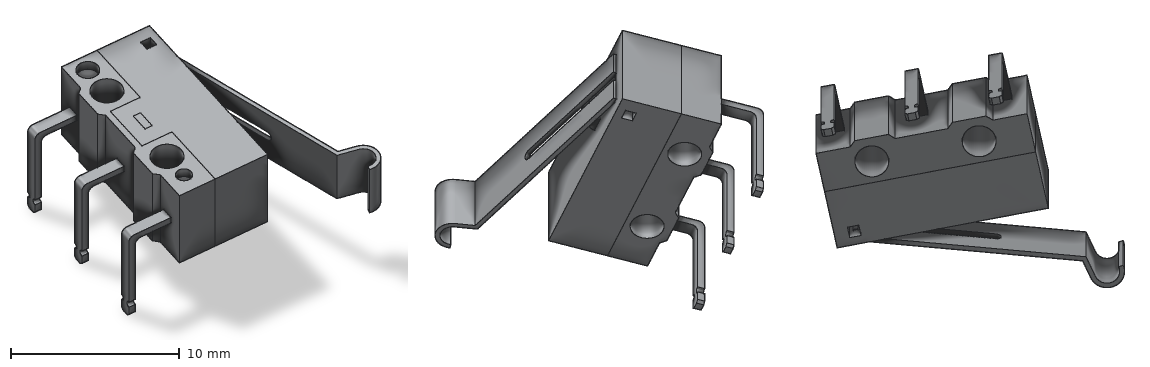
import cadquery as cq
import math


length = 12.77
depth = 6.25
height = 5.7
mid_x = length / 2
mid_z = height / 2
split_y = 2.53

hole_diameter = 2.0
hole_spacing = 6.49
hole_y = 1.17
large_recess_diameter = 1.4
large_recess_x = 1.08
small_recess_diameter = 1.0
small_recess_x = 11.47
recess_depth = 0.65

pad_offset = 2.95
pad_width = 2.04
pad_height = 0.35

tab_width = 3.43
tab_front_y = 0.4
tab_thickness = 0.4
catch_width = 1.27
catch_length = 0.5
catch_y = 1.58

window_size = 0.69
window_x = 1.2
window_y = 5.4

plunger_diameter = 1.0
plunger_x = 4.34
plunger_y = 6.23
plunger_length = 1.99

lever_thickness = 0.3
lever_width = 3.67
lever_z = 2.82
leg_x = 1.08
leg_heading = 90.0
blade_heading = 17.2
arm_heading = 78.0
bend_y = 6.43
blade_length = 13.52
arm_length = 1.2
hook_radius = 1.05
slot_width = 0.69
slot_end = 8.65
tang_width = 1.99
shoulder_y = 5.7

terminal_pitch = 5.07
terminal_width = 0.8
terminal_thickness = 0.45
terminal_insertion = 0.98
terminal_reach = 2.98
terminal_top_z = 3.07
terminal_bottom_z = -3.65
bend_radius = 0.4
tip_chamfer = 0.16
notch_radius = 0.21
notch_z = -2.66


def block(x0, x1, y0, y1, z0, z1):
    """Axis-aligned box between two corners."""
    return cq.Workplane("XY").box(x1 - x0, y1 - y0, z1 - z0, centered=False).translate((x0, y0, z0))


def tab_catch():
    """Block at the top face that fills the window of the snap tab."""
    return block(
        mid_x - catch_width / 2,
        mid_x + catch_width / 2,
        catch_y - catch_length / 2,
        catch_y + catch_length / 2,
        height - tab_thickness,
        height,
    )


def snap_tab():
    """Tongue of the cover that lies flush in the top of the base."""
    tongue = block(
        mid_x - tab_width / 2,
        mid_x + tab_width / 2,
        tab_front_y,
        split_y,
        height - tab_thickness,
        height,
    )
    return tongue.cut(tab_catch())


def make_plunger():
    """Round bar seated for about half its diameter in the back face of the cover."""
    return (
        cq.Workplane("XY", origin=(plunger_x, plunger_y, mid_z - plunger_length / 2))
        .circle(plunger_diameter / 2)
        .extrude(plunger_length)
    )


def step(point, heading, distance):
    """Point at a distance from another along a heading in degrees."""
    angle = math.radians(heading)
    return (point[0] + distance * math.cos(angle), point[1] + distance * math.sin(angle))


def across_bend(point, heading_in, heading_out):
    """Corner on the right-hand face of the strip, opposite a corner on its left-hand face."""
    half_turn = math.radians((heading_in - heading_out) / 2)
    return step(point, (heading_in + heading_out) / 2 - 90, lever_thickness / math.cos(half_turn))


def make_lever():
    """Bent strip: leg, slanted blade, short arm and half-round hook."""
    leg_bend = (leg_x, bend_y)
    arm_bend = step(leg_bend, blade_heading, blade_length)
    hook_start = step(arm_bend, arm_heading, arm_length)
    hook_centre = step(hook_start, arm_heading - 90, hook_radius)
    inner_radius = hook_radius - lever_thickness
    leg_end_y = window_y - window_size / 2

    strip = (
        cq.Workplane("XY", origin=(0, 0, lever_z - lever_width / 2))
        .moveTo(leg_x, leg_end_y)
        .lineTo(*leg_bend)
        .lineTo(*arm_bend)
        .lineTo(*hook_start)
        .threePointArc(
            step(hook_centre, arm_heading, hook_radius),
            step(hook_centre, arm_heading - 90, hook_radius),
        )
        .lineTo(*step(hook_centre, arm_heading - 90, inner_radius))
        .threePointArc(
            step(hook_centre, arm_heading, inner_radius),
            step(hook_centre, arm_heading + 90, inner_radius),
        )
        .lineTo(*across_bend(arm_bend, blade_heading, arm_heading))
        .lineTo(*across_bend(leg_bend, leg_heading, blade_heading))
        .lineTo(leg_x + lever_thickness, leg_end_y)
        .close()
        .extrude(lever_width)
    )

    blade_plane = cq.Plane(
        origin=(*leg_bend, lever_z),
        xDir=(math.cos(math.radians(blade_heading)), math.sin(math.radians(blade_heading)), 0),
        normal=(*step((0, 0), blade_heading + 90, 1), 0),
    )
    blade_slot = (
        cq.Workplane(blade_plane)
        .moveTo(0, -slot_width / 2)
        .lineTo(slot_end - slot_width / 2, -slot_width / 2)
        .threePointArc((slot_end, 0), (slot_end - slot_width / 2, slot_width / 2))
        .lineTo(0, slot_width / 2)
        .close()
        .extrude(lever_thickness, both=True)
    )
    bend_slot = block(
        leg_x,
        leg_x + lever_thickness,
        depth,
        depth + 2 * lever_thickness,
        lever_z - slot_width / 2,
        lever_z + slot_width / 2,
    )
    lever = strip.cut(blade_slot).cut(bend_slot)

    shoulder_width = (lever_width - tang_width) / 2
    for side in (-1, 1):
        shoulder_z = lever_z + side * (tang_width + shoulder_width) / 2
        shoulder = block(
            leg_x,
            leg_x + lever_thickness,
            leg_end_y,
            shoulder_y,
            shoulder_z - shoulder_width / 2,
            shoulder_z + shoulder_width / 2,
        )
        lever = lever.cut(shoulder)
    return lever


def make_terminal(x):
    """Flat pin that leaves the front of the base and bends down."""
    underside_z = terminal_top_z - terminal_thickness
    inner_y = terminal_thickness - terminal_reach
    pin = (
        cq.Workplane("YZ", origin=(x - terminal_width / 2, 0, 0))
        .moveTo(terminal_insertion, terminal_top_z)
        .lineTo(bend_radius - terminal_reach, terminal_top_z)
        .radiusArc((-terminal_reach, terminal_top_z - bend_radius), -bend_radius)
        .lineTo(-terminal_reach, terminal_bottom_z)
        .lineTo(inner_y, terminal_bottom_z)
        .lineTo(inner_y, underside_z - bend_radius)
        .radiusArc((inner_y + bend_radius, underside_z), bend_radius)
        .lineTo(terminal_insertion, underside_z)
        .close()
        .extrude(terminal_width)
    )
    pin = pin.faces("<Z").edges("|Y").chamfer(tip_chamfer)
    notches = (
        cq.Workplane("XZ", origin=(x, 0, notch_z))
        .pushPoints([(-terminal_width / 2, 0), (terminal_width / 2, 0)])
        .circle(notch_radius)
        .extrude(terminal_reach)
    )
    return pin.cut(notches)


def make_base(terminals):
    """Front half of the housing, with sockets for the terminals."""
    body = block(0, length, 0, split_y, 0, height)
    for side in (-1, 1):
        pad_x = mid_x + side * pad_offset
        foot = pad_width / 2 + pad_height
        pad = (
            cq.Workplane("XY")
            .polyline(
                [
                    (pad_x - foot, 0),
                    (pad_x - pad_width / 2, -pad_height),
                    (pad_x + pad_width / 2, -pad_height),
                    (pad_x + foot, 0),
                ]
            )
            .close()
            .extrude(height)
        )
        body = body.union(pad)

    top = cq.Workplane("XY", origin=(0, hole_y, height))
    hole_points = [(mid_x - hole_spacing / 2, 0), (mid_x + hole_spacing / 2, 0)]
    mounting_holes = top.pushPoints(hole_points).circle(hole_diameter / 2).extrude(-height)
    large_recess = top.center(large_recess_x, 0).circle(large_recess_diameter / 2).extrude(-recess_depth)
    small_recess = top.center(small_recess_x, 0).circle(small_recess_diameter / 2).extrude(-recess_depth)
    body = body.cut(mounting_holes).cut(large_recess).cut(small_recess).cut(snap_tab())
    for terminal in terminals:
        body = body.cut(terminal)
    return body


def make_cover(plunger, lever):
    """Back half of the housing, with seats for the plunger and the lever."""
    body = block(0, length, split_y, depth, 0, height).union(snap_tab())
    window = (
        cq.Workplane("XY")
        .center(window_x, window_y)
        .rect(window_size, window_size)
        .extrude(height)
    )
    return body.cut(window).cut(lever).cut(plunger)


plunger = make_plunger()
lever = make_lever()
terminals = [make_terminal(mid_x + i * terminal_pitch) for i in (-1, 0, 1)]
base = make_base(terminals)
cover = make_cover(plunger, lever)

result = cq.Compound.makeCompound(
    [base.val(), cover.val(), plunger.val(), lever.val(), *[t.val() for t in terminals]]
)